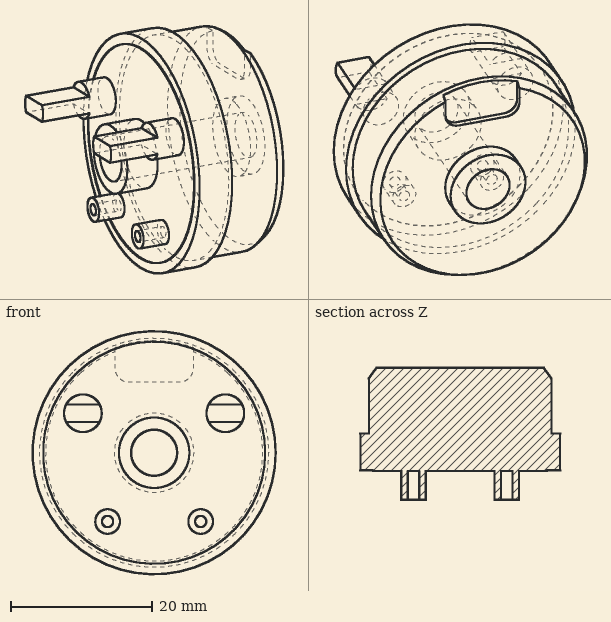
import cadquery as cq
import math


flange_diameter = 34.5
flange_thickness = 5.25
front_pad_diameter = 31.5
front_pad_height = 0.1
housing_diameter = 32.5
housing_length = 9.3
rear_chamfer_length = 1.5
rear_chamfer_angle = 30.0
rear_boss_diameter = 11.25
rear_boss_length = 2.3
hub_diameter = 10.0
hub_length = 4.9
bore_diameter = 6.5

post_diameter = 5.35
post_offset_x = 10.1
post_height_z = 5.6
post_round_length = 4.1
post_total_length = 11.75
blade_thickness = 2.5

pin_diameter = 3.5
pin_hole_diameter = 1.6
pin_offset_x = 6.6
pin_height_z = -9.75
pin_length = post_round_length
pin_hole_depth = pin_length

pocket_width = 11.1
pocket_depth = 0.95
pocket_corner_radius = 2.0
pocket_floor_z = 10.0

front_y = -front_pad_height
housing_start_y = flange_thickness
housing_rear_y = housing_start_y + housing_length
rear_end_y = housing_rear_y + rear_boss_length


def cylinder(diameter, start_y, end_y, x=0.0, z=0.0):
    """Cylinder parallel to Y between two Y positions."""
    axis = cq.Vector(0, 1, 0)
    base = cq.Vector(x, start_y, z)
    return cq.Workplane(cq.Solid.makeCylinder(diameter / 2, end_y - start_y, base, axis))


def make_body():
    """Flange, housing, front pad, hub and rear boss as one revolved profile."""
    chamfer_start_y = housing_rear_y - rear_chamfer_length
    chamfer_height = rear_chamfer_length * math.tan(math.radians(rear_chamfer_angle))
    housing_radius = housing_diameter / 2
    hub_end_y = front_y - hub_length
    profile = [
        (0, hub_end_y),
        (hub_diameter / 2, hub_end_y),
        (hub_diameter / 2, front_y),
        (front_pad_diameter / 2, front_y),
        (front_pad_diameter / 2, 0),
        (flange_diameter / 2, 0),
        (flange_diameter / 2, housing_start_y),
        (housing_radius, housing_start_y),
        (housing_radius, chamfer_start_y),
        (housing_radius - chamfer_height, housing_rear_y),
        (rear_boss_diameter / 2, housing_rear_y),
        (rear_boss_diameter / 2, rear_end_y),
        (0, rear_end_y),
    ]
    return cq.Workplane("XY").polyline(profile).close().revolve(360, (0, 0, 0), (0, 1, 0))


def make_post(x):
    """Round post whose outer end is flattened into a horizontal blade."""
    tip_y = front_y - post_total_length
    shoulder_y = front_y - post_round_length
    round_part = cylinder(post_diameter, shoulder_y, 0, x, post_height_z)
    blade_length = post_total_length - post_round_length
    blade_slab = (
        cq.Workplane("XY")
        .box(post_diameter, blade_length, blade_thickness)
        .translate((x, (tip_y + shoulder_y) / 2, post_height_z))
    )
    blade = cylinder(post_diameter, tip_y, shoulder_y, x, post_height_z).intersect(blade_slab)
    return round_part.union(blade)


def make_pin(x):
    """Round pin with a blind hole in its end."""
    tip_y = front_y - pin_length
    pin = cylinder(pin_diameter, tip_y, 0, x, pin_height_z)
    hole = cylinder(pin_hole_diameter, tip_y, tip_y + pin_hole_depth, x, pin_height_z)
    return pin.cut(hole)


def make_rim_pocket():
    """Shallow pocket cutter with two rounded inner corners, reaching past the rim."""
    pocket_height = flange_diameter / 2 - pocket_floor_z
    return (
        cq.Workplane("XY")
        .box(pocket_width, pocket_depth, pocket_height)
        .edges("|Y and <Z")
        .fillet(pocket_corner_radius)
        .translate((0, housing_rear_y - pocket_depth / 2, pocket_floor_z + pocket_height / 2))
    )


result = make_body()
for side in (-1, 1):
    result = result.union(make_post(side * post_offset_x))
    result = result.union(make_pin(side * pin_offset_x))
result = result.cut(make_rim_pocket())
result = result.cut(cylinder(bore_diameter, front_y - hub_length, rear_end_y))